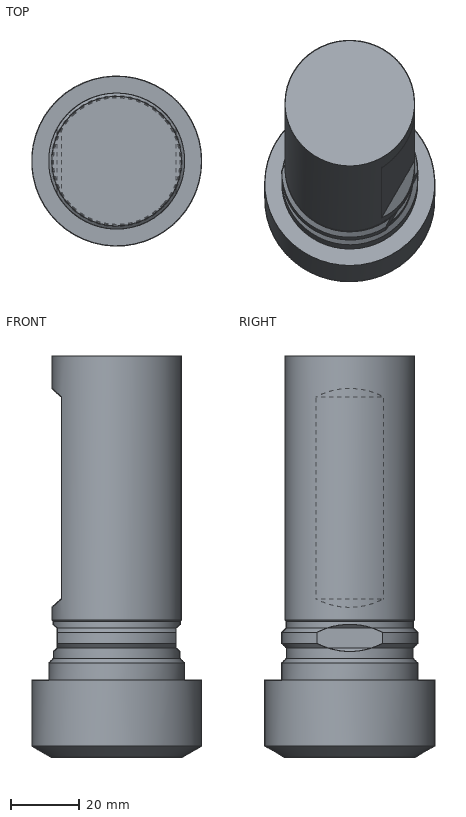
import cadquery as cq
import math

head_radius = 25.0
head_top = 22.7
head_chamfer_radial = 5.77
head_chamfer_angle = 30.0
head_chamfer_height = head_chamfer_radial * math.tan(math.radians(head_chamfer_angle))

collar_radius = 20.0
collar_height = 5.0
neck_radius = 18.6
neck_height = 3.0
ring_height = 3.2
taper = collar_radius - neck_radius

undercut_radius = 18.7

shank_radius = 19.05
shank_bottom = 40.3
total_height = 118.0

wrench_flat_offset = 17.5

clamp_flat_offset = 16.25
clamp_flat_bottom = 46.6
clamp_flat_top = 105.9

end_slope_angle = 42.0

collar_top = head_top + collar_height
neck_bottom = collar_top + taper
neck_top = neck_bottom + neck_height
ring_bottom = neck_top + taper
ring_top = ring_bottom + ring_height
undercut_bottom = ring_top + collar_radius - undercut_radius
undercut_top = shank_bottom - (shank_radius - undercut_radius)


def turned_body():
    """Half outline in the XZ plane, revolved about Z."""
    outline = [
        (0, 0),
        (head_radius - head_chamfer_radial, 0),
        (head_radius, head_chamfer_height),
        (head_radius, head_top),
        (collar_radius, head_top),
        (collar_radius, collar_top),
        (neck_radius, neck_bottom),
        (neck_radius, neck_top),
        (collar_radius, ring_bottom),
        (collar_radius, ring_top),
        (undercut_radius, undercut_bottom),
        (undercut_radius, undercut_top),
        (shank_radius, shank_bottom),
        (shank_radius, total_height),
        (0, total_height),
    ]
    return cq.Workplane("XZ").polyline(outline).close().revolve(360, (0, 0), (0, 1))


def flat_cutter(offset, bottom, top):
    """Solid outside the plane x = -offset whose end faces flare outward."""
    depth = head_radius - offset
    flare = depth * math.tan(math.radians(end_slope_angle))
    outline = [
        (-offset, bottom),
        (-offset, top),
        (-head_radius, top + flare),
        (-head_radius, bottom - flare),
    ]
    return cq.Workplane("XZ").polyline(outline).close().extrude(head_radius, both=True)


wrench_cutter = flat_cutter(wrench_flat_offset, neck_top, undercut_bottom)
clamp_cutter = flat_cutter(clamp_flat_offset, clamp_flat_bottom, clamp_flat_top)

result = (
    turned_body()
    .cut(wrench_cutter)
    .cut(wrench_cutter.mirror("YZ"))
    .cut(clamp_cutter)
)